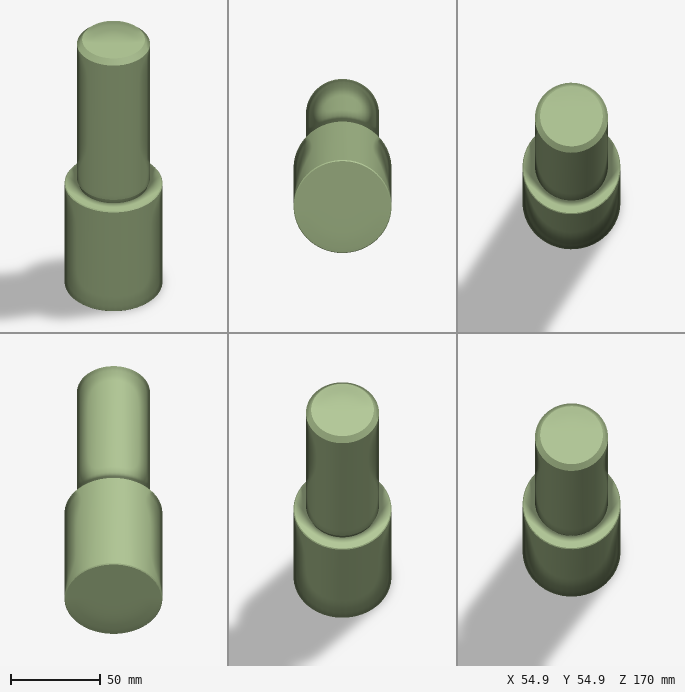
import cadquery as cq

total_length = 170.0
body_diameter = 54.9
body_length = 70.0
body_edge_chamfer = 0.5

shank_diameter = 41.0
tip_chamfer = 2.9

groove_diameter = 39.0
groove_width = 3.0

shank_start = body_length + groove_width
shank_length = total_length - shank_start


def cylinder(diameter, bottom, length):
    """Upright cylinder on the Z axis."""
    return cq.Workplane("XY").workplane(offset=bottom).circle(diameter / 2).extrude(length)


body = cylinder(body_diameter, 0, body_length).edges().chamfer(body_edge_chamfer)

neck = cylinder(groove_diameter, body_length, groove_width)

shank = cylinder(shank_diameter, shank_start, shank_length).faces(">Z").edges().chamfer(tip_chamfer)

result = body.union(neck).union(shank)